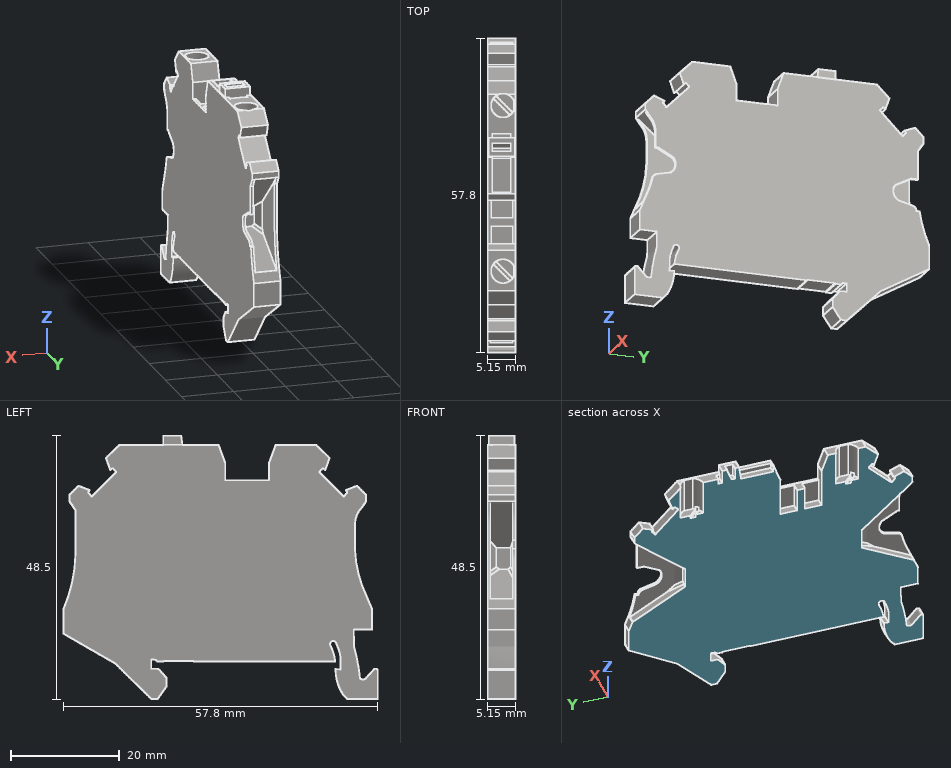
import cadquery as cq

THICKNESS = 5.15
WALL = 0.5
TOP_Z = 46.75
LUG_TIP = (27.3, 36.35)
HALF_LENGTH = 28.4
SKIRT_TOP_Z = 16.6
RAIL_Z = 6.9

CHANNEL_Y = (-9.4, -1.4)
CHANNEL_FLOOR_Z = 40.3
CHANNEL_BEVEL_Z = 43.45
CHANNEL_BEVEL_RUN = 1.2
CHANNEL_POCKET_LENGTH = 3.25
CHANNEL_POCKET_DEPTH = 4.6
CHANNEL_POCKET_X = (0.65, 4.6)

MARKER_X = (0.85, 4.3)
MARKER_Y = (0.05, 10.8)
MARKER_DEPTH = 1.05
TAB_Y = (6.5, 10.05)
TAB_HEIGHT = 1.7
TAB_SIDE_GAP = 0.2
TAB_LEAN = 0.25
TAB_SLOT_Y = (7.6, 9.1)
TAB_SLOT_FLOOR_END_Y = 8.15
TAB_SLOT_DEPTH = 2.4

SCREW_X = 2.85
SCREW_YS = (-14.45, 16.0)
SCREW_RADIUS = 2.2
SCREW_FLAT_X = 4.85
SCREW_DEPTH = 6.95
SCREW_SLOT_WIDTH = 0.7
SCREW_SLOT_DEPTH = 0.6
SCREW_SLOT_ANGLE = -45

FUNNEL_MOUTH_Y = 27.55
FUNNEL_END_Y = 17.35
FUNNEL_MOUTH_Z = (18.45, 36.2)
FUNNEL_END_Z = (23.9, 27.8)
FUNNEL_END_X = (1.6, 4.2)
FUNNEL_TAPER = 1.45
FUNNEL_BEVEL = 0.4
OUTSIDE_Y = 30.05

SHOULDER = [
    LUG_TIP, (27.3, 37.55), (25.6, 39.25), (23.5, 38.45), (23.8, 38.05), (23.2, 37.3),
    (18.65, 41.8), (19.35, 42.5), (19.75, 42.1), (20.6, 44.35), (18.1, TOP_Z),
]


def mirrored(points):
    return [(-y, z) for y, z in points]


def box(xs, ys, zs):
    size = (xs[1] - xs[0], ys[1] - ys[0], zs[1] - zs[0])
    return cq.Workplane("XY").box(*size, centered=False).translate((xs[0], ys[0], zs[0]))


def plate():
    channel_outline = [
        (CHANNEL_Y[1] + CHANNEL_BEVEL_RUN, TOP_Z),
        (CHANNEL_Y[1], CHANNEL_BEVEL_Z),
        (CHANNEL_Y[1], CHANNEL_FLOOR_Z),
        (CHANNEL_Y[0], CHANNEL_FLOOR_Z),
        (CHANNEL_Y[0], CHANNEL_BEVEL_Z),
        (CHANNEL_Y[0] - CHANNEL_BEVEL_RUN, TOP_Z),
    ]
    outline = cq.Workplane("YZ").moveTo(*SHOULDER[0])
    for point in SHOULDER[1:] + channel_outline + mirrored(SHOULDER)[::-1]:
        outline = outline.lineTo(*point)
    outline = (
        outline.lineTo(-26.65, 35.4)
        .threePointArc((-25.55, 33.7), (-25.25, 32.25))
        .lineTo(-25.25, 27.5)
        .threePointArc((-25.95, 22.85), (-26.6, 20.8))
        .lineTo(-HALF_LENGTH, SKIRT_TOP_Z)
        .lineTo(-HALF_LENGTH, 12.8)
        .lineTo(-25.0, 12.8)
    )
    outline = (
        outline.lineTo(-25.1, 9.65)
        .threePointArc((-25.7, 6.95), (-26.2, 3.8))
        .threePointArc((-26.75, 3.65), (-27.35, 4.0))
        .lineTo(-28.65, 5.45)
        .threePointArc((-29.15, 5.6), (-29.4, 5.3))
        .lineTo(-29.4, 0)
        .lineTo(-23.8, 0)
        .lineTo(-22.95, 0.9)
        .threePointArc((-21.95, 3.1), (-21.6, 5.55))
        .lineTo(-22.55, 5.5)
        .lineTo(-22.55, 7.75)
    )
    outline = (
        outline.threePointArc((-22.25, 9.0), (-21.8, 10.2))
        .threePointArc((-21.05, 10.65), (-20.75, 9.8))
        .threePointArc((-21.3, 8.4), (-21.6, RAIL_Z))
        .lineTo(4.45, RAIL_Z)
        .lineTo(4.45, 7.0)
        .lineTo(9.9, 7.0)
        .lineTo(10.0, RAIL_Z)
        .lineTo(11.1, RAIL_Z)
        .lineTo(11.45, 7.2)
        .lineTo(12.2, 7.3)
    )
    outline = (
        outline.lineTo(12.2, 5.6)
        .lineTo(11.3, 5.6)
        .threePointArc((10.9, 5.55), (10.65, 5.3))
        .lineTo(9.4, 3.95)
        .lineTo(9.4, 2.3)
        .lineTo(11.05, 0)
        .lineTo(12.2, 0)
        .lineTo(18.85, 6.55)
        .lineTo(HALF_LENGTH, 12.0)
        .lineTo(HALF_LENGTH, SKIRT_TOP_Z)
        .threePointArc((26.75, 21.6), (26.2, 26.65))
        .lineTo(26.2, 34.75)
        .close()
    )
    return outline.extrude(THICKNESS)


def channel_pockets():
    zs = (CHANNEL_FLOOR_Z - CHANNEL_POCKET_DEPTH, CHANNEL_FLOOR_Z)
    low = box(CHANNEL_POCKET_X, (CHANNEL_Y[0], CHANNEL_Y[0] + CHANNEL_POCKET_LENGTH), zs)
    high = box(CHANNEL_POCKET_X, (CHANNEL_Y[1] - CHANNEL_POCKET_LENGTH, CHANNEL_Y[1]), zs)
    return low.union(high)


def marker_tab():
    """Tab standing in the marker pocket, with a leaning -Y face and a slot whose +Y side slopes."""
    tab_top = TOP_Z + TAB_HEIGHT
    pocket_floor = TOP_Z - MARKER_DEPTH
    lean_below = TAB_LEAN * MARKER_DEPTH / TAB_HEIGHT
    body = (
        cq.Workplane("YZ")
        .polyline([
            (TAB_Y[0] - lean_below, pocket_floor),
            (TAB_Y[0] + TAB_LEAN, tab_top),
            (TAB_Y[1], tab_top),
            (TAB_Y[1], pocket_floor),
        ])
        .close()
        .extrude(THICKNESS)
    )
    head_x = (TAB_SIDE_GAP, THICKNESS - TAB_SIDE_GAP)
    stem_room = box(MARKER_X, MARKER_Y, (pocket_floor, TOP_Z))
    head_room = box(head_x, TAB_Y, (TOP_Z, tab_top))
    slot = (
        cq.Workplane("YZ", origin=(MARKER_X[0], 0, 0))
        .polyline([
            (TAB_SLOT_Y[0], tab_top),
            (TAB_SLOT_Y[0], tab_top - TAB_SLOT_DEPTH),
            (TAB_SLOT_FLOOR_END_Y, tab_top - TAB_SLOT_DEPTH),
            (TAB_SLOT_Y[1], tab_top),
        ])
        .close()
        .extrude(MARKER_X[1] - MARKER_X[0])
    )
    return body.intersect(stem_room.union(head_room)).cut(slot)


def screw_hole(y):
    """Blind hole flattened on its +X side; a slotted screw head forms its floor."""
    floor_z = TOP_Z - SCREW_DEPTH
    hole = cq.Workplane("XY", origin=(SCREW_X, y, floor_z)).circle(SCREW_RADIUS).extrude(SCREW_DEPTH)
    slot = (
        cq.Workplane("XY")
        .box(2 * SCREW_RADIUS, SCREW_SLOT_WIDTH, 2 * SCREW_SLOT_DEPTH)
        .rotate((0, 0, 0), (0, 0, 1), SCREW_SLOT_ANGLE)
        .translate((SCREW_X, y, floor_z))
    )
    room = box((0, SCREW_FLAT_X), (y - SCREW_RADIUS, y + SCREW_RADIUS), (0, TOP_Z))
    return hole.union(slot).intersect(room)


def wire_entry():
    """Funnel on the -Y side, narrowing inwards, with a notch through the +X wall."""
    side_shape = (
        cq.Workplane("YZ")
        .polyline([
            (-OUTSIDE_Y, FUNNEL_MOUTH_Z[0]),
            (-FUNNEL_MOUTH_Y, FUNNEL_MOUTH_Z[0]),
            (-FUNNEL_END_Y, FUNNEL_END_Z[0]),
            (-FUNNEL_END_Y, FUNNEL_END_Z[1]),
            (-LUG_TIP[0], FUNNEL_MOUTH_Z[1]),
            (-OUTSIDE_Y, FUNNEL_MOUTH_Z[1]),
        ])
        .close()
        .extrude(THICKNESS)
    )
    taper_start_y = -FUNNEL_END_Y - FUNNEL_TAPER
    plan_shape = (
        cq.Workplane("XY")
        .polyline([
            (WALL, -OUTSIDE_Y),
            (WALL, taper_start_y),
            (FUNNEL_END_X[0], -FUNNEL_END_Y),
            (FUNNEL_END_X[1], -FUNNEL_END_Y),
            (THICKNESS - WALL, taper_start_y),
            (THICKNESS - WALL, -OUTSIDE_Y),
        ])
        .close()
        .extrude(TOP_Z)
    )
    funnel = side_shape.intersect(plan_shape)
    margin = FUNNEL_TAPER / 4
    taper_floor = cq.selectors.BoxSelector(
        (0, taper_start_y + margin, 0),
        (THICKNESS, -FUNNEL_END_Y - margin, FUNNEL_END_Z[0]),
    )
    funnel = funnel.edges(taper_floor).chamfer(FUNNEL_BEVEL)
    notch = (
        cq.Workplane("YZ", origin=(THICKNESS - WALL, 0, 0))
        .moveTo(-OUTSIDE_Y, 29.25)
        .lineTo(-24.85, 29.25)
        .lineTo(-21.85, 27.7)
        .threePointArc((-21.3, 26.25), (-22.5, 24.6))
        .lineTo(-25.2, 24.0)
        .threePointArc((-25.65, 23.65), (-25.9, 23.05))
        .lineTo(-OUTSIDE_Y, 23.05)
        .close()
        .extrude(WALL)
    )
    return funnel.union(notch)


result = plate().cut(channel_pockets())
marker_pocket = box(MARKER_X, MARKER_Y, (TOP_Z - MARKER_DEPTH, TOP_Z))
result = result.cut(marker_pocket).union(marker_tab())
for screw_y in SCREW_YS:
    result = result.cut(screw_hole(screw_y))
entry = wire_entry()
result = result.cut(entry).cut(entry.mirror("XZ"))